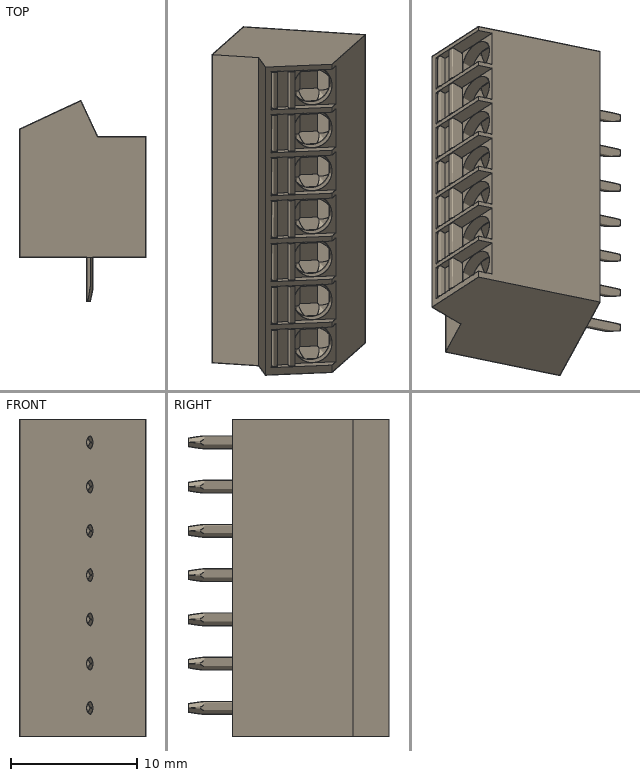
import cadquery as cq
import math


height = 25.1
width = 10.0
ways = 7
bottom_wall = 0.6
pitch = (height - bottom_wall) / ways
cell_wall = 0.4

slope_angle = 25.0
left_height = 10.15
right_height = 9.55
slope_length = 5.35
slope_cos = math.cos(math.radians(slope_angle))
slope_sin = math.sin(math.radians(slope_angle))
peak_x = slope_length * slope_cos
peak_y = left_height + slope_length * slope_sin
notch_x = peak_x + (peak_y - right_height) * math.tan(math.radians(slope_angle))

pocket_width = pitch - cell_wall
pocket_end = 4.87
pocket_depth = 1.03

entry_position = 1.35
entry_diameter = 3.05
entry_depth = 1.0
funnel_depth = 1.0
funnel_cone_angle = 24.0
funnel_flat_angle = 37.0
funnel_square = 2.9

lever_start = 2.94
lever_end = 4.77
lever_side_gap = 0.08
slot_start = 3.46
slot_end = 4.37
slot_depth = 0.5
lever_edge_radius = 0.13

pin_length = 3.5
pin_embed = 0.5
pin_drop = 0.08
pin_x = 5.6
pin_left_bulge = 0.3
pin_right_bulge = 0.2
pin_height = 1.03
pin_tip_half_angle = 60.0
pin_tip_taper = 12.0
pin_tip_reach = 1.5


def slope_face(depth_below_slope, z):
    """Plane parallel to the slope; local x runs up the slope, local y runs down along -Z."""
    origin = (depth_below_slope * slope_sin, left_height - depth_below_slope * slope_cos, z)
    return cq.Workplane(
        cq.Plane(origin=origin, xDir=(slope_cos, slope_sin, 0), normal=(-slope_sin, slope_cos, 0))
    )


def slope_section(z):
    """Plane square to Z; local x runs up the slope, local y points out of the slope."""
    return cq.Workplane(
        cq.Plane(origin=(0, left_height, z), xDir=(slope_cos, slope_sin, 0), normal=(0, 0, 1))
    )


def housing():
    outline = [
        (0, 0),
        (width, 0),
        (width, right_height),
        (notch_x, right_height),
        (peak_x, peak_y),
        (0, left_height),
    ]
    return cq.Workplane("XY").polyline(outline).close().extrude(height)


def pocket(z):
    """Recess from the left side up to the strip along the peak."""
    overrun = pocket_depth
    return (
        slope_section(z - pocket_width / 2)
        .moveTo(-overrun, -pocket_depth)
        .lineTo(pocket_end, -pocket_depth)
        .lineTo(pocket_end, overrun)
        .lineTo(-overrun, overrun)
        .close()
        .extrude(pocket_width)
    )


def wire_entry(z):
    """Round hole leading into a narrowing funnel with four flats."""
    mouth = slope_face(pocket_depth, z).center(entry_position, 0)
    bore = mouth.circle(entry_diameter / 2).extrude(-entry_depth)
    shoulder = slope_face(pocket_depth + entry_depth, z).center(entry_position, 0)
    cone = shoulder.circle(entry_diameter / 2).extrude(-funnel_depth, taper=funnel_cone_angle)
    pyramid = shoulder.rect(funnel_square, funnel_square).extrude(-funnel_depth, taper=funnel_flat_angle)
    return bore.union(cone.intersect(pyramid))


def lever(z):
    """Slotted lever standing on the pocket floor, with its four upper edges rounded."""
    lever_width = pocket_width - 2 * lever_side_gap
    profile = [
        (lever_start, -pocket_depth),
        (lever_start, 0),
        (slot_start, 0),
        (slot_start, -slot_depth),
        (slot_end, -slot_depth),
        (slot_end, 0),
        (lever_end, 0),
        (lever_end, -pocket_depth),
    ]
    body = slope_section(z - lever_width / 2).polyline(profile).close().extrude(lever_width)
    outward = cq.Vector(-slope_sin, slope_cos, 0)
    upper_edges = cq.selectors.DirectionMinMaxSelector(outward, True)
    return body.edges("|Z").edges(upper_edges).fillet(lever_edge_radius)


def pin(z):
    """Pin of lens-shaped section, with two slanted faces meeting in a ridge at its tip."""
    section = cq.Workplane(cq.Plane(origin=(pin_x, -pin_length, z), xDir=(1, 0, 0), normal=(0, 1, 0)))
    shank = (
        section.moveTo(0, pin_height / 2)
        .threePointArc((-pin_left_bulge, 0), (0, -pin_height / 2))
        .threePointArc((pin_right_bulge, 0), (0, pin_height / 2))
        .close()
        .extrude(pin_length + pin_embed)
    )
    tip_half_height = pin_tip_reach * math.tan(math.radians(pin_tip_half_angle))
    wedge = (
        section.polyline([(0, 0), (-pin_tip_reach, tip_half_height), (-pin_tip_reach, -tip_half_height)])
        .close()
        .extrude(pin_length + pin_embed, taper=-pin_tip_taper)
    )
    return shank.intersect(wedge)


result = housing()
for way in range(ways):
    cell_top = height - way * pitch
    pocket_z = cell_top - cell_wall - pocket_width / 2
    pin_z = cell_top - pitch / 2 - pin_drop
    result = result.cut(pocket(pocket_z)).cut(wire_entry(pocket_z))
    result = result.union(lever(pocket_z)).union(pin(pin_z))